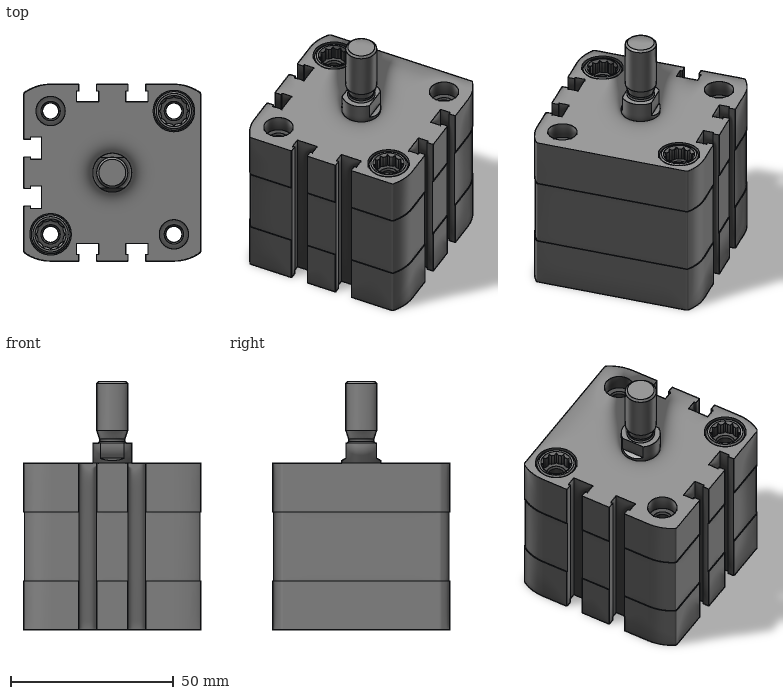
import cadquery as cq
import math

WIDTH = 54.5
TOTAL_HEIGHT = 76.45
HOUSING_HEIGHT = 51.3

CAP_HEIGHT = 15.05
BARREL_INSET = 0.2
CORNER_CENTRE_X = 18.95
CORNER_RADIUS = 14.0
EDGE_RADIUS = 1.0

SLOT_OFFSET = 7.6
MOUTH_WIDTH = 5.35
UNDERCUT_WIDTH = 6.8
LIP_THICKNESS = 2.15
SLOT_DEPTH = 5.4
SLOT_BEVEL = 0.15

HOLE_OFFSET = 18.95
HOLE_DIAMETER = 4.9
LEAD_IN_DIAMETER = 6.0
COUNTERBORE_DIAMETER = 9.0
COUNTERBORE_DEPTH = 5.0

SCREW_BORE_DIAMETER = 12.8
HEAD_DIAMETER = 11.9
HEAD_BEVEL = 0.5
SOCKET_MOUTH_DIAMETER = 9.55
SOCKET_DEPTH = 4.6
SOCKET_MOUTH_DEPTH = 0.9
SOCKET_INNER_DIAMETER = 8.2
SOCKET_OUTER_DIAMETER = 9.0
SOCKET_GROOVE_WIDTH = 1.1
SOCKET_TEETH = 12

COLLAR_DIAMETER = 12.0
COLLAR_HEIGHT = 6.2
THREAD_DIAMETER = 9.55
NECK_DIAMETER = 7.7
NECK_ROOT_DIAMETER = 8.5
ROOT_FLARE_HEIGHT = 0.5
NECK_FLARE_DIAMETER = 8.0
NECK_TOP = 7.4
NECK_FLARE_TOP = 7.7
THREAD_START = 10.1
TIP_DIAMETER = 8.25
TIP_HEIGHT = 0.6
FLAT_WIDTH = 9.5
FLAT_BOTTOM = 1.5
FLAT_RUNOUT_ANGLE = 30.0


def block(inset, height):
    """Prism of the rounded housing outline, moved inwards by `inset`."""
    half = WIDTH / 2 - inset
    radius = CORNER_RADIUS - inset
    centre_y = WIDTH / 2 - CORNER_RADIUS
    reach = half - CORNER_CENTRE_X
    end_angle = math.acos(reach / radius)
    middle_angle = (end_angle + math.pi / 2) / 2
    end_y = centre_y + radius * math.sin(end_angle)
    middle_x = CORNER_CENTRE_X + radius * math.cos(middle_angle)
    middle_y = centre_y + radius * math.sin(middle_angle)

    outline = (
        cq.Workplane("XY")
        .moveTo(CORNER_CENTRE_X, half)
        .threePointArc((middle_x, middle_y), (half, end_y))
        .lineTo(half, -end_y)
        .threePointArc((middle_x, -middle_y), (CORNER_CENTRE_X, -half))
        .lineTo(-CORNER_CENTRE_X, -half)
        .threePointArc((-middle_x, -middle_y), (-half, -end_y))
        .lineTo(-half, end_y)
        .threePointArc((-middle_x, middle_y), (-CORNER_CENTRE_X, half))
        .close()
    )
    side_edges = outline.extrude(height).edges("|Z").edges("<X or >X")
    return side_edges.fillet(EDGE_RADIUS - inset)


def slot_pair():
    """Cutters for the two slots of the +Y face."""
    face = WIDTH / 2
    mouth_inner = SLOT_OFFSET - MOUTH_WIDTH / 2
    mouth_outer = SLOT_OFFSET + MOUTH_WIDTH / 2
    undercut_inner = SLOT_OFFSET - UNDERCUT_WIDTH / 2
    undercut_outer = SLOT_OFFSET + UNDERCUT_WIDTH / 2
    slot = (
        cq.Workplane("XY")
        .polyline([
            (mouth_inner - SLOT_BEVEL, face),
            (mouth_inner, face - SLOT_BEVEL),
            (mouth_inner, face - LIP_THICKNESS),
            (undercut_inner, face - LIP_THICKNESS),
            (undercut_inner, face - SLOT_DEPTH),
            (undercut_outer, face - SLOT_DEPTH),
            (undercut_outer, face - LIP_THICKNESS),
            (mouth_outer, face - LIP_THICKNESS),
            (mouth_outer, face - SLOT_BEVEL),
            (mouth_outer + SLOT_BEVEL, face),
        ])
        .close()
        .extrude(HOUSING_HEIGHT)
    )
    return slot.union(slot.mirror("YZ"))


def top_cone(top_z, top_diameter, bottom_diameter, depth):
    """Cone narrowing downwards from `top_z`."""
    return (
        cq.Workplane("XY", origin=(0, 0, top_z - depth))
        .circle(bottom_diameter / 2)
        .workplane(offset=depth)
        .circle(top_diameter / 2)
        .loft()
    )


def hole_cutter(floor_z):
    """Through hole with a conical lead-in at the floor of its recess."""
    lead_in_depth = (LEAD_IN_DIAMETER - HOLE_DIAMETER) / 2
    hole = cq.Workplane("XY").circle(HOLE_DIAMETER / 2).extrude(floor_z)
    return hole.union(top_cone(floor_z, LEAD_IN_DIAMETER, HOLE_DIAMETER, lead_in_depth))


def counterbored_hole():
    floor_z = HOUSING_HEIGHT - COUNTERBORE_DEPTH
    counterbore = (
        cq.Workplane("XY", origin=(0, 0, floor_z))
        .circle(COUNTERBORE_DIAMETER / 2)
        .extrude(COUNTERBORE_DEPTH)
    )
    return counterbore.union(hole_cutter(floor_z))


def socket_cutter(floor_z):
    """Round socket with V grooves between its teeth and a countersunk mouth."""
    inner = SOCKET_INNER_DIAMETER / 2
    outer = SOCKET_OUTER_DIAMETER / 2
    socket = cq.Workplane("XY", origin=(0, 0, floor_z)).circle(inner).extrude(SOCKET_DEPTH)
    groove_depth = outer - inner
    groove = (
        cq.Workplane("XY", origin=(0, 0, floor_z))
        .polyline([
            (outer, 0),
            (inner - groove_depth, SOCKET_GROOVE_WIDTH),
            (inner - groove_depth, -SOCKET_GROOVE_WIDTH),
        ])
        .close()
        .extrude(SOCKET_DEPTH)
    )
    for tooth in range(SOCKET_TEETH):
        socket = socket.union(groove.rotate((0, 0, 0), (0, 0, 1), tooth * 360 / SOCKET_TEETH))
    mouth = top_cone(HOUSING_HEIGHT, SOCKET_MOUTH_DIAMETER, SOCKET_INNER_DIAMETER, SOCKET_MOUTH_DEPTH)
    return socket.union(mouth)


def screw_recess():
    """Everything removed around and inside one socket screw."""
    floor_z = HOUSING_HEIGHT - SOCKET_DEPTH
    bore = (
        cq.Workplane("XY", origin=(0, 0, floor_z))
        .circle(SCREW_BORE_DIAMETER / 2)
        .extrude(SOCKET_DEPTH)
    )
    head = (
        cq.Workplane("XY", origin=(0, 0, floor_z))
        .circle(HEAD_DIAMETER / 2)
        .extrude(SOCKET_DEPTH)
        .faces(">Z")
        .chamfer(HEAD_BEVEL)
    )
    head = head.cut(socket_cutter(floor_z))
    return bore.cut(head).union(hole_cutter(floor_z))


def make_housing():
    barrel_height = HOUSING_HEIGHT - 2 * CAP_HEIGHT
    cap = block(0, CAP_HEIGHT)
    barrel = block(BARREL_INSET, barrel_height).translate((0, 0, CAP_HEIGHT))
    housing = cap.union(barrel).union(cap.translate((0, 0, HOUSING_HEIGHT - CAP_HEIGHT)))

    slots = slot_pair()
    for angle in (0, 90, 180):
        housing = housing.cut(slots.rotate((0, 0, 0), (0, 0, 1), angle))

    plain_hole = counterbored_hole()
    screw = screw_recess()
    for side in (-1, 1):
        housing = housing.cut(plain_hole.translate((-side * HOLE_OFFSET, side * HOLE_OFFSET, 0)))
        housing = housing.cut(screw.translate((side * HOLE_OFFSET, side * HOLE_OFFSET, 0)))
    return housing


def make_rod():
    """Piston rod standing on the housing top: collar, flared neck and thread cylinder."""
    length = TOTAL_HEIGHT - HOUSING_HEIGHT
    rod = (
        cq.Workplane("XZ")
        .polyline([
            (0, 0),
            (COLLAR_DIAMETER / 2, 0),
            (COLLAR_DIAMETER / 2, COLLAR_HEIGHT),
            (NECK_ROOT_DIAMETER / 2, COLLAR_HEIGHT),
            (NECK_DIAMETER / 2, COLLAR_HEIGHT + ROOT_FLARE_HEIGHT),
            (NECK_DIAMETER / 2, NECK_TOP),
            (NECK_FLARE_DIAMETER / 2, NECK_FLARE_TOP),
            (THREAD_DIAMETER / 2, THREAD_START),
            (THREAD_DIAMETER / 2, length - TIP_HEIGHT),
            (TIP_DIAMETER / 2, length),
            (0, length),
        ])
        .close()
        .revolve(360, (0, 0, 0), (0, 1, 0))
    )

    flat = FLAT_WIDTH / 2
    outside = COLLAR_DIAMETER / 2
    runout_drop = (outside - flat) * math.tan(math.radians(FLAT_RUNOUT_ANGLE))
    flat_cutter = (
        cq.Workplane("YZ")
        .polyline([
            (flat, FLAT_BOTTOM),
            (outside, FLAT_BOTTOM - runout_drop),
            (outside, COLLAR_HEIGHT),
            (flat, COLLAR_HEIGHT),
        ])
        .close()
        .extrude(COLLAR_DIAMETER / 2, both=True)
    )
    rod = rod.cut(flat_cutter).cut(flat_cutter.mirror("XZ"))
    return rod.translate((0, 0, HOUSING_HEIGHT))


housing = make_housing()
rod = make_rod()
result = cq.Compound.makeCompound([housing.val(), rod.val()])